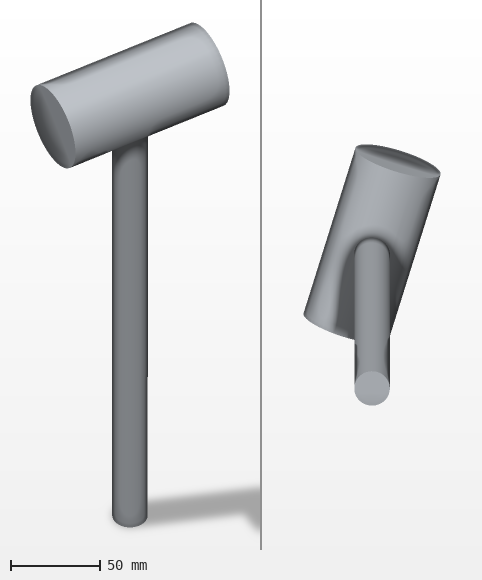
import cadquery as cq

total_height = 350.0
head_diameter = 50.0
head_length = 2 * head_diameter
handle_diameter = 20.0

head_axis_height = total_height - head_diameter / 2


def make_head():
    """Cylinder lying along Y, centred over the handle."""
    return (
        cq.Workplane("XZ", origin=(0, 0, head_axis_height))
        .circle(head_diameter / 2)
        .extrude(head_length / 2, both=True)
    )


def make_handle():
    """Upright round rod that ends on the axis of the head."""
    return cq.Workplane("XY").circle(handle_diameter / 2).extrude(head_axis_height)


result = make_head().union(make_handle())